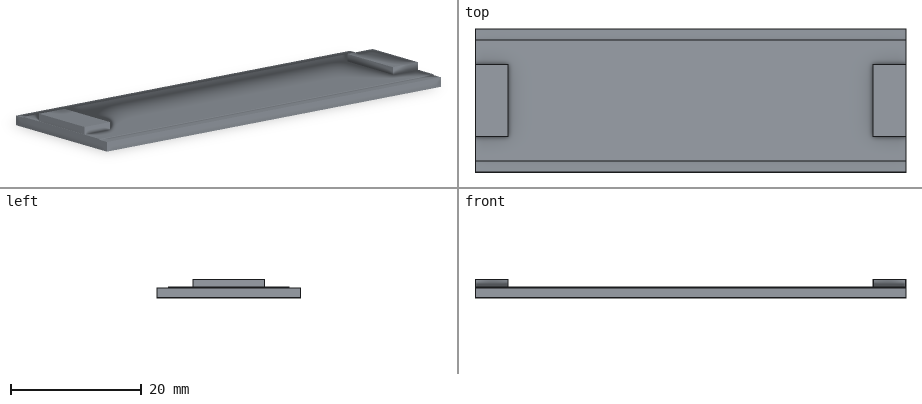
import cadquery as cq

plate_length = 66.0
plate_width = 22.0
plate_thickness = 1.5

sheet_width = 18.5
sheet_thickness = 0.1

overall_height = 2.85
pad_length = 5.0
pad_width = 11.0
sheet_top = plate_thickness + sheet_thickness
pad_thickness = overall_height - sheet_top
right_pad_setback = 0.05
left_pad_x = (pad_length - plate_length) / 2
right_pad_x = -left_pad_x - right_pad_setback


def block(length, width, thickness, bottom, center_x=0):
    """Rectangular block centred on Y = 0, resting on the height `bottom`."""
    return (
        cq.Workplane("XY", origin=(center_x, 0, bottom))
        .rect(length, width)
        .extrude(thickness)
    )


def make_plate():
    return block(plate_length, plate_width, plate_thickness, 0)


def make_sheet():
    return block(plate_length, sheet_width, sheet_thickness, plate_thickness)


def make_pad(center_x):
    return block(pad_length, pad_width, pad_thickness, sheet_top, center_x)


plate = make_plate()
sheet = make_sheet()
pads = [make_pad(center_x) for center_x in (left_pad_x, right_pad_x)]

result = cq.Compound.makeCompound([plate.val(), sheet.val(), *[pad.val() for pad in pads]])